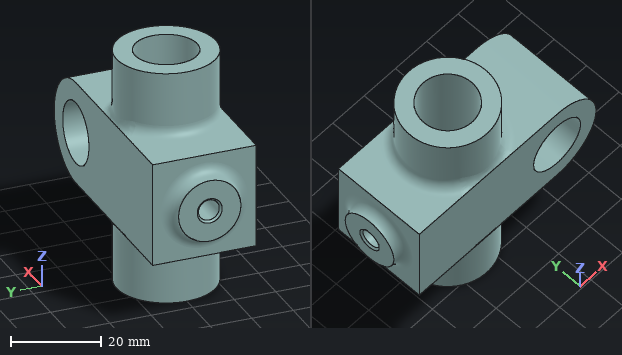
import cadquery as cq

block_width = 25.0
eye_offset = 22.0
block_reach = 22.0
bore_diameter = 15.0
collar_diameter = 24.0
overall_height = 57.0
fillet_radius = 3.0
nipple_diameter = 15.0
nipple_length = 3.0
port_diameter = 5.0
port_mouth_diameter = 6.0
mouth_angle = 45
edge_margin = 0.6

half_width = block_width / 2
nipple_end = block_reach + nipple_length
mouth_chamfer = (port_mouth_diameter - port_diameter) / 2
nipple_trim = fillet_radius


def make_block():
    """Square bar with a flat end at -X and a full round around the eye at +X."""
    return (
        cq.Workplane("XZ")
        .moveTo(-block_reach, -half_width)
        .lineTo(eye_offset, -half_width)
        .threePointArc((eye_offset + half_width, 0), (eye_offset, half_width))
        .lineTo(-block_reach, half_width)
        .close()
        .extrude(half_width, both=True)
    )


def add_collars(body):
    """Vertical collar above and below the block, with filleted roots."""
    collar = (
        cq.Workplane("XY", origin=(0, 0, -overall_height / 2))
        .circle(collar_diameter / 2)
        .extrude(overall_height)
    )
    body = body.union(collar)
    for side in (-1, 1):
        root = cq.selectors.BoxSelector(
            (-collar_diameter, -block_width, side * half_width - edge_margin),
            (collar_diameter, block_width, side * half_width + edge_margin),
        )
        body = body.edges(root).edges("%CIRCLE").fillet(fillet_radius)
    return body


def add_nipple(body):
    """Short boss on the flat end, flared into it by a fillet as tall as the boss."""
    nipple = (
        cq.Workplane("YZ", origin=(-block_reach, 0, 0))
        .circle(nipple_diameter / 2)
        .extrude(-(nipple_length + nipple_trim))
    )
    root = cq.selectors.BoxSelector(
        (-block_reach - edge_margin, -nipple_diameter, -nipple_diameter),
        (-block_reach + edge_margin, nipple_diameter, nipple_diameter),
    )
    body = body.union(nipple).edges(root).edges("%CIRCLE").fillet(fillet_radius)
    trim = (
        cq.Workplane("YZ", origin=(-nipple_end, 0, 0))
        .rect(block_width, block_width)
        .extrude(-nipple_trim)
    )
    return body.cut(trim)


def cut_bores(body):
    """Through bore along the collars and through eye across the bar."""
    collar_bore = (
        cq.Workplane("XY", origin=(0, 0, -overall_height / 2))
        .circle(bore_diameter / 2)
        .extrude(overall_height)
    )
    eye = (
        cq.Workplane("XZ", origin=(eye_offset, 0, 0))
        .circle(bore_diameter / 2)
        .extrude(block_width, both=True)
    )
    return body.cut(collar_bore).cut(eye)


def cut_port(body):
    """Small port from the nipple face into the collar bore, with a chamfered mouth."""
    port = cq.Workplane("YZ", origin=(-nipple_end, 0, 0)).circle(port_diameter / 2).extrude(nipple_end)
    mouth = (
        cq.Workplane("YZ", origin=(-nipple_end, 0, 0))
        .circle(port_mouth_diameter / 2)
        .extrude(mouth_chamfer, taper=mouth_angle)
    )
    return body.cut(port).cut(mouth)


result = cut_port(cut_bores(add_nipple(add_collars(make_block()))))